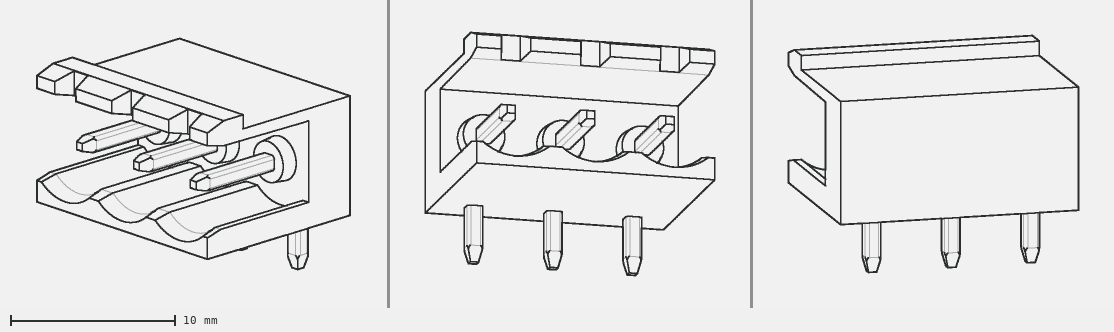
import cadquery as cq

POLES = 3
WIDTH = 15.0
PITCH = WIDTH / POLES
DEPTH = 12.0
TOP = 7.68
POLE_XS = [(i - (POLES - 1) / 2) * PITCH for i in range(POLES)]

CAVITY_DEPTH = 8.5
FLOOR = 1.66
CEILING_BACK = 6.88
CEILING_FRONT = 6.98

RIDGE_TOP = 8.58
RIDGE_DEPTH = 3.0
NOSE_LENGTH = 1.36
NOSE_TOP = 8.12
NOSE_BOTTOM = 7.29

NOTCH_DEPTH = 1.32
NOTCH_FRONT_WIDTH = 1.85
NOTCH_BACK_WIDTH = 1.2

LEAD_IN_LENGTH = 1.12
LEAD_IN_DROP = 0.28
TROUGH_RADIUS = 2.98

COLLAR_LENGTH = 0.99
COLLAR_BASE_RADIUS = 1.41
COLLAR_TIP_RADIUS = 1.3

PIN_SIZE = 1.0
PIN_EDGE_RADIUS = 0.21
PIN_TIP_SIZE = 0.51
CONTACT_TIP_LENGTH = 0.92
SOLDER_TIP_LENGTH = 0.99
PIN_Z = 3.88
PIN_Y = 9.99
CONTACT_TIP_Y = 1.2
SOLDER_TIP_Z = -3.5
CONTACT_LENGTH = PIN_Y + PIN_SIZE / 2 - CONTACT_TIP_Y
SOLDER_LENGTH = PIN_Z + PIN_SIZE / 2 - SOLDER_TIP_Z


def front_plane(x, y, z):
    """Plane facing the open front (-Y), with its own X along the part's X."""
    return cq.Plane(origin=(x, y, z), xDir=(1, 0, 0), normal=(0, -1, 0))


def shell():
    """C-shaped side profile extruded across the full width."""
    profile = [
        (0, 0),
        (DEPTH, 0),
        (DEPTH, TOP),
        (RIDGE_DEPTH, TOP),
        (RIDGE_DEPTH, RIDGE_TOP),
        (NOSE_LENGTH, RIDGE_TOP),
        (0, NOSE_TOP),
        (0, NOSE_BOTTOM),
        (NOSE_LENGTH, CEILING_FRONT),
        (CAVITY_DEPTH, CEILING_BACK),
        (CAVITY_DEPTH, FLOOR),
        (LEAD_IN_LENGTH, FLOOR),
        (0, FLOOR - LEAD_IN_DROP),
    ]
    return cq.Workplane("YZ").polyline(profile).close().extrude(WIDTH / 2, both=True)


def notch(x):
    """Tapered notch through the nose, widest at the front."""
    outline = [
        (x - NOTCH_FRONT_WIDTH / 2, 0),
        (x + NOTCH_FRONT_WIDTH / 2, 0),
        (x + NOTCH_BACK_WIDTH / 2, NOTCH_DEPTH),
        (x - NOTCH_BACK_WIDTH / 2, NOTCH_DEPTH),
    ]
    mid_cavity = (FLOOR + CEILING_BACK) / 2
    height = RIDGE_TOP - mid_cavity
    return cq.Workplane("XY", origin=(0, 0, mid_cavity)).polyline(outline).close().extrude(height)


def trough(x):
    """Round channel coaxial with the contact leg, flared at the open front."""
    profile = [
        (0, 0),
        (TROUGH_RADIUS + LEAD_IN_DROP, 0),
        (TROUGH_RADIUS, LEAD_IN_LENGTH),
        (TROUGH_RADIUS, CAVITY_DEPTH),
        (0, CAVITY_DEPTH),
    ]
    channel = cq.Workplane("XY").polyline(profile).close().revolve(360, (0, 0), (0, 1))
    channel = channel.translate((x, 0, PIN_Z))
    lower_half = cq.Workplane("XY").box(WIDTH, DEPTH, PIN_Z, centered=(True, False, False))
    return channel.intersect(lower_half.translate((x, 0, 0)))


def collar(x):
    """Slightly conical collar standing on the back wall around a pin."""
    return (
        cq.Workplane(front_plane(x, CAVITY_DEPTH, PIN_Z))
        .circle(COLLAR_BASE_RADIUS)
        .workplane(offset=COLLAR_LENGTH)
        .circle(COLLAR_TIP_RADIUS)
        .loft(combine=True)
    )


def pointed_bar(plane, length, tip_length):
    """Sharp-edged square bar from the plane, tapering to a blunt tip at its far end."""
    straight = length - tip_length
    bar = cq.Workplane(plane).rect(PIN_SIZE, PIN_SIZE).extrude(straight)
    tip = (
        cq.Workplane(plane)
        .workplane(offset=straight)
        .rect(PIN_SIZE, PIN_SIZE)
        .workplane(offset=tip_length)
        .rect(PIN_TIP_SIZE, PIN_TIP_SIZE)
        .loft(combine=True)
    )
    return bar.union(tip)


def bent_blank(x):
    """L-shaped bar with rounded long edges, overlong at both ends."""
    half = PIN_SIZE / 2
    front = CONTACT_TIP_Y - PIN_SIZE
    bottom = SOLDER_TIP_Z - PIN_SIZE
    outline = [
        (front, PIN_Z + half),
        (PIN_Y + half, PIN_Z + half),
        (PIN_Y + half, bottom),
        (PIN_Y - half, bottom),
        (PIN_Y - half, PIN_Z - half),
        (front, PIN_Z - half),
    ]
    blank = cq.Workplane("YZ").polyline(outline).close().extrude(half, both=True)
    return blank.faces("<X or >X").edges().fillet(PIN_EDGE_RADIUS).translate((x, 0, 0))


def pin(x):
    """Contact leg and solder leg in one piece, each with a tapered tip."""
    half = PIN_SIZE / 2
    contact_leg = pointed_bar(front_plane(x, PIN_Y + half, PIN_Z), CONTACT_LENGTH, CONTACT_TIP_LENGTH)
    down = cq.Plane(origin=(x, PIN_Y, PIN_Z + half), xDir=(1, 0, 0), normal=(0, 0, -1))
    solder_leg = pointed_bar(down, SOLDER_LENGTH, SOLDER_TIP_LENGTH)
    return bent_blank(x).intersect(contact_leg.union(solder_leg))


def make_housing(pins):
    """Housing with notches, troughs, collars and a fitting hole for each pin."""
    body = shell()
    for x in POLE_XS:
        body = body.cut(notch(x)).cut(trough(x)).union(collar(x))
    for contact in pins:
        body = body.cut(contact)
    return body


pins = [pin(x) for x in POLE_XS]
housing = make_housing(pins)

result = cq.Compound.makeCompound([housing.solids().val(), *[contact.val() for contact in pins]])